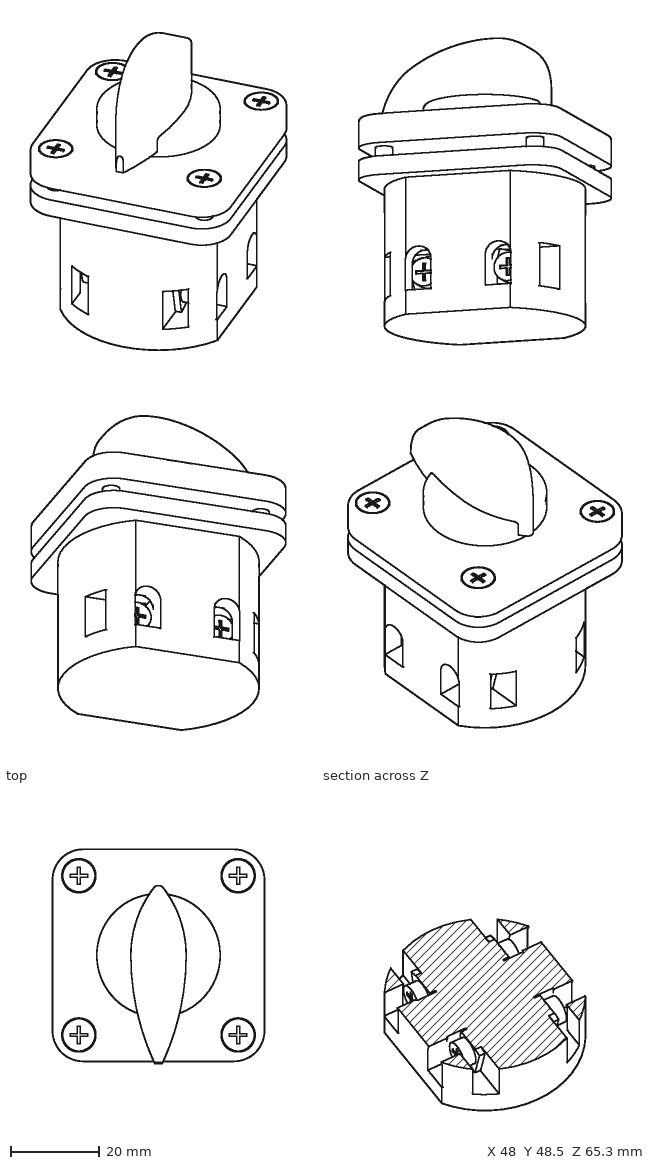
import cadquery as cq
import math

FLANGE_BOTTOM = 31.6
FLANGE_TOP = 35.9
PLATE_BOTTOM = 38.95
PLATE_TOP = 45.8
KNOB_BOTTOM = 47.2
DISC_TOP = 50.8
TOTAL_HEIGHT = 65.25

PLATE_SIDE = 48.0
PLATE_CORNER_R = 7.0
PLATE_EDGE_R = 0.85

DRUM_R = 22.8
DRUM_WIDTH = 38.1

COLLAR_BASE_R = 4.0
COLLAR_TOP_R = 2.9

POCKET_FLOOR_X = 9.0
POCKET_OUTER_X = 14.1
POCKET_BOTTOM = 5.55
POCKET_TOP = 15.5
SLOT_INNER_Y = 6.45
SLOT_R = 3.05

TERMINAL_Y = 10.0
TERMINAL_Z = 10.65
WASHER_SIDE = 7.95
WASHER_THICKNESS = 1.5
WASHER_TILT = 14.0
TERMINAL_HEAD_R = 3.25
TERMINAL_HEAD_HEIGHT = 3.0

CROSS_LENGTH = 3.9
CROSS_WIDTH = 0.65
CROSS_DEPTH = 0.65

SCREW_PITCH = 36.0
SCREW_HEAD_R = 3.65
SCREW_HEAD_HEIGHT = 3.0
SCREW_SHANK_R = 1.95
HEAD_CLEARANCE = 0.2

DISC_R = 13.95
DISC_EDGE_R = 0.85
HANDLE_HALF_WIDTH = 6.25
HANDLE_REAR_Y = 15.8
HANDLE_REAR_HALF = 0.65
HANDLE_FRONT_Y = -24.5
HANDLE_FRONT_HALF = 0.85
HANDLE_EDGE_R = 1.25
CREST_REAR_R = 11.2
CREST_FRONT_Y = -16.5
CREST_FRONT_Z = 60.0
NOSE_Y = -24.2
NOSE_Z = 51.2


def square_plate(bottom, top):
    """Square slab with rounded vertical corners."""
    slab = cq.Workplane("XY").workplane(offset=bottom).rect(PLATE_SIDE, PLATE_SIDE).extrude(top - bottom)
    return slab.edges("|Z").fillet(PLATE_CORNER_R)


def cylinder(radius, bottom, top):
    return cq.Workplane("XY").workplane(offset=bottom).circle(radius).extrude(top - bottom)


def cross_recess(top):
    """Cutter for a cross recess sunk below the height `top`, centred on the Z axis."""
    bar = cq.Workplane("XY").box(CROSS_LENGTH, CROSS_WIDTH, CROSS_DEPTH, centered=(True, True, False))
    return bar.union(bar.rotate((0, 0, 0), (0, 0, 1), 90)).translate((0, 0, top - CROSS_DEPTH))


def at_four_corners(shape):
    """The shape in the +X +Y quadrant and its mirror images in the other three."""
    pair = [shape, shape.mirror("YZ")]
    return pair + [copy.mirror("XZ") for copy in pair]


def terminal_pocket():
    """Cutter for one pocket in the +X +Y quadrant: the wire window joined with the arched slot."""
    height = POCKET_TOP - POCKET_BOTTOM
    depth = POCKET_OUTER_X - POCKET_FLOOR_X
    window = (
        cq.Workplane("XY").box(depth, DRUM_R, height, centered=False)
        .translate((POCKET_FLOOR_X, SLOT_INNER_Y, POCKET_BOTTOM))
    )
    arch_z = POCKET_TOP - SLOT_R
    slot = (
        cq.Workplane("YZ").workplane(offset=POCKET_FLOOR_X)
        .moveTo(SLOT_INNER_Y, POCKET_BOTTOM)
        .lineTo(SLOT_INNER_Y, arch_z)
        .threePointArc((SLOT_INNER_Y + SLOT_R, POCKET_TOP), (SLOT_INNER_Y + 2 * SLOT_R, arch_z))
        .lineTo(SLOT_INNER_Y + 2 * SLOT_R, POCKET_BOTTOM)
        .close()
        .extrude(DRUM_R - POCKET_FLOOR_X)
    )
    return window.union(slot)


def terminal():
    """Washer and screw head, built along Z and then turned to face +X."""
    head_top = WASHER_THICKNESS + TERMINAL_HEAD_HEIGHT
    washer = (
        cq.Workplane("XY").rect(WASHER_SIDE, WASHER_SIDE).extrude(WASHER_THICKNESS)
        .rotate((0, 0, 0), (0, 0, 1), -WASHER_TILT)
    )
    head = cylinder(TERMINAL_HEAD_R, WASHER_THICKNESS, head_top).cut(cross_recess(head_top))
    return (
        washer.union(head)
        .rotate((0, 0, 0), (0, 1, 0), 90)
        .translate((POCKET_FLOOR_X, TERMINAL_Y, TERMINAL_Z))
    )


def make_housing():
    """Drum with its terminals, the flange above it and the collar on top."""
    drum = cylinder(DRUM_R, 0, FLANGE_BOTTOM).intersect(
        cq.Workplane("XY").rect(DRUM_WIDTH, 2 * DRUM_R).extrude(FLANGE_BOTTOM)
    )
    for pocket in at_four_corners(terminal_pocket()):
        drum = drum.cut(pocket)
    for fitted_terminal in at_four_corners(terminal()):
        drum = drum.union(fitted_terminal)
    collar = (
        cq.Workplane("XY").workplane(offset=FLANGE_TOP).circle(COLLAR_BASE_R)
        .workplane(offset=PLATE_BOTTOM - FLANGE_TOP).circle(COLLAR_TOP_R).loft()
    )
    return drum.union(square_plate(FLANGE_BOTTOM, FLANGE_TOP)).union(collar)


def plan_arc_middle(end_y, end_half):
    """Point halfway along the +X side arc, which starts parallel to Y at the widest section."""
    drop = HANDLE_HALF_WIDTH - end_half
    radius = (end_y**2 + drop**2) / (2 * drop)
    half_angle = math.asin(abs(end_y) / radius) / 2
    x = HANDLE_HALF_WIDTH - radius * (1 - math.cos(half_angle))
    return x, math.copysign(radius * math.sin(half_angle), end_y)


def handle():
    """Lens-shaped grip: its plan outline cut to a humped side profile, with rounded edges."""
    rear_x, rear_y = plan_arc_middle(HANDLE_REAR_Y, HANDLE_REAR_HALF)
    front_x, front_y = plan_arc_middle(HANDLE_FRONT_Y, HANDLE_FRONT_HALF)
    plan = (
        cq.Workplane("XY").workplane(offset=KNOB_BOTTOM)
        .moveTo(HANDLE_REAR_HALF, HANDLE_REAR_Y)
        .threePointArc((rear_x, rear_y), (HANDLE_HALF_WIDTH, 0))
        .threePointArc((front_x, front_y), (HANDLE_FRONT_HALF, HANDLE_FRONT_Y))
        .lineTo(-HANDLE_FRONT_HALF, HANDLE_FRONT_Y)
        .threePointArc((-front_x, front_y), (-HANDLE_HALF_WIDTH, 0))
        .threePointArc((-rear_x, rear_y), (-HANDLE_REAR_HALF, HANDLE_REAR_Y))
        .close()
        .extrude(TOTAL_HEIGHT - KNOB_BOTTOM)
    )
    crest_y = HANDLE_REAR_Y - CREST_REAR_R
    profile = (
        cq.Workplane("YZ").workplane(offset=-HANDLE_HALF_WIDTH)
        .moveTo(HANDLE_FRONT_Y, KNOB_BOTTOM)
        .lineTo(HANDLE_REAR_Y, KNOB_BOTTOM)
        .lineTo(HANDLE_REAR_Y, TOTAL_HEIGHT - CREST_REAR_R)
        .tangentArcPoint((crest_y, TOTAL_HEIGHT), relative=False)
        .tangentArcPoint((CREST_FRONT_Y, CREST_FRONT_Z), relative=False)
        .tangentArcPoint((NOSE_Y, NOSE_Z), relative=False)
        .close()
        .extrude(2 * HANDLE_HALF_WIDTH)
    )
    grip = plan.intersect(profile)
    return grip.edges("|Z").edges(">Y").fillet(HANDLE_EDGE_R)


def make_front():
    """Front plate with counterbored screw holes, carrying the disc and the handle."""
    plate = square_plate(PLATE_BOTTOM, PLATE_TOP).faces(">Z").edges().fillet(PLATE_EDGE_R)
    head_bottom = PLATE_TOP - SCREW_HEAD_HEIGHT
    corner = (SCREW_PITCH / 2, SCREW_PITCH / 2, 0)
    hole = cylinder(SCREW_SHANK_R, PLATE_BOTTOM, PLATE_TOP).union(
        cylinder(SCREW_HEAD_R + HEAD_CLEARANCE, head_bottom, PLATE_TOP)
    )
    for screw_hole in at_four_corners(hole.translate(corner)):
        plate = plate.cut(screw_hole)
    disc = cylinder(DISC_R, PLATE_TOP, DISC_TOP).faces(">Z").edges().fillet(DISC_EDGE_R)
    return plate.union(disc).union(handle())


def make_screw():
    """Corner screw with a flush round head; its shank reaches down to the flange."""
    head = cylinder(SCREW_HEAD_R, PLATE_TOP - SCREW_HEAD_HEIGHT, PLATE_TOP).cut(cross_recess(PLATE_TOP))
    screw = head.union(cylinder(SCREW_SHANK_R, FLANGE_TOP, PLATE_TOP - SCREW_HEAD_HEIGHT))
    return screw.translate((SCREW_PITCH / 2, SCREW_PITCH / 2, 0))


housing = make_housing()
front = make_front()
screws = [screw.val() for screw in at_four_corners(make_screw())]
result = cq.Compound.makeCompound([housing.val(), front.val(), *screws])